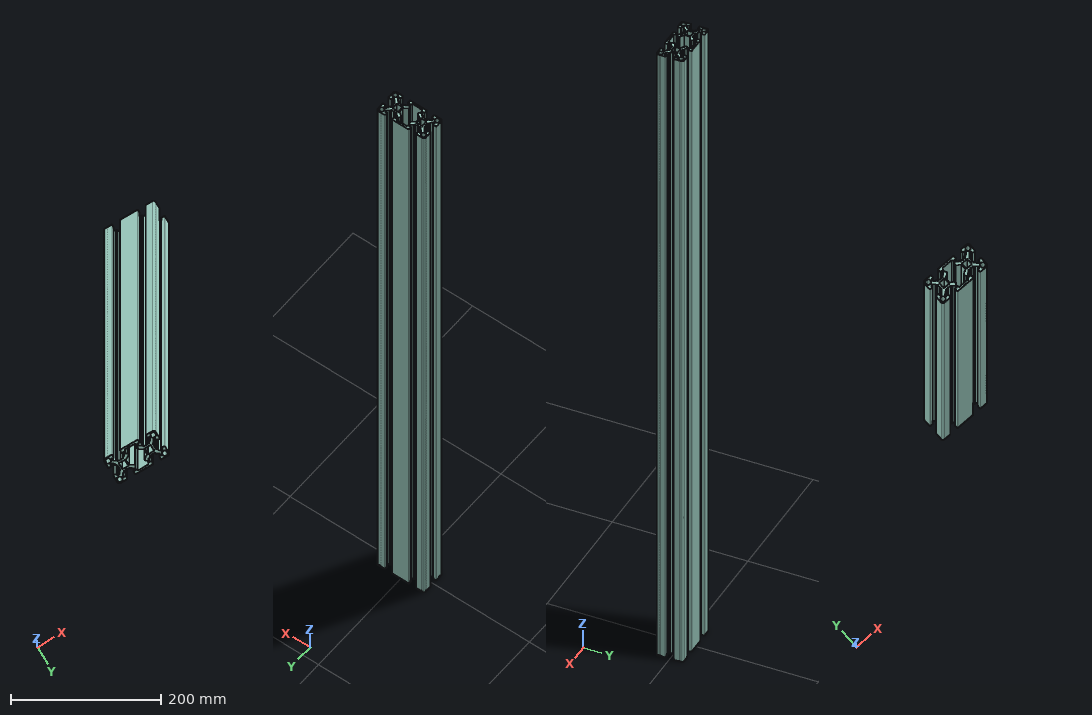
import cadquery as cq

length = 1000.0
width = 80.0
depth = 40.0
corner_radius = 3.0

cell_half = depth / 2
cell_centers_x = (-width / 4, width / 4)

slot_mouth_width = 12.0
mouth_fillet = 0.6
lip_thickness = 5.0
slot_inner_width = 18.0
slot_wall_height = 3.0
ledge_depth = 10.0
ledge_width = 13.0
floor_depth = 12.0
floor_width = 9.0
groove_half_width = 0.6

core_bore_side = 9.5
corner_hole_side = 7.0
corner_hole_wall = 1.5
corner_hole_fillet = 2.5

cavity_wall = 3.0
cavity_middle = (14.0, 4.0)
cavity_neck_half_width = 7.5
cavity_neck_heights = (8.0, 10.0)
cavity_lobe_half_width = 9.5
cavity_lobe_heights = (12.0, 14.0)
cavity_top_half_width = 8.0


def prism(points):
    """Full-length prism over a closed outline."""
    return cq.Workplane("XY").polyline(points).close().extrude(length)


def mirrored_in_x(points):
    """The points in reverse order, mirrored to the other side of the Y axis."""
    return [(-x, y) for x, y in reversed(points)]


def t_slot():
    """Cutter for a slot opening toward +Y in a cell centred on the origin."""
    half = [
        (slot_mouth_width / 2, cell_half),
        (slot_mouth_width / 2, cell_half - lip_thickness),
        (slot_inner_width / 2, cell_half - lip_thickness),
        (slot_inner_width / 2, cell_half - lip_thickness - slot_wall_height),
        (ledge_width / 2, cell_half - ledge_depth),
        (floor_width / 2, cell_half - ledge_depth),
        (floor_width / 2, cell_half - floor_depth),
        (groove_half_width, cell_half - floor_depth),
    ]
    groove_bottom = (0, cell_half - floor_depth - groove_half_width)
    return prism(half + [groove_bottom] + mirrored_in_x(half))


def central_cavity():
    """Hollow between the cells, with a narrow neck beside each pair of facing slots."""
    neck_low, neck_high = cavity_neck_heights
    lobe_low, lobe_high = cavity_lobe_heights
    quarter = [
        cavity_middle,
        (cavity_neck_half_width, neck_low),
        (cavity_neck_half_width, neck_high),
        (cavity_lobe_half_width, lobe_low),
        (cavity_lobe_half_width, lobe_high),
        (cavity_top_half_width, cell_half - cavity_wall),
    ]
    upper = quarter + mirrored_in_x(quarter)
    lower = [(-x, -y) for x, y in upper]
    return prism(upper + lower)


def mouth_edge_selector():
    """Selector for the outer long edges of all six slot mouths."""
    half_mouth = slot_mouth_width / 2
    points = [(end * width / 2, side * half_mouth) for end in (-1, 1) for side in (-1, 1)]
    for center_x in cell_centers_x:
        for side in (-1, 1):
            points.append((center_x - half_mouth, side * cell_half))
            points.append((center_x + half_mouth, side * cell_half))
    reach = mouth_fillet / 2
    selector = None
    for x, y in points:
        box = cq.selectors.BoxSelector((x - reach, y - reach, 0), (x + reach, y + reach, length))
        selector = box if selector is None else selector + box
    return selector


result = cq.Workplane("XY").rect(width, depth).extrude(length).edges("|Z").fillet(corner_radius)

for center_x in cell_centers_x:
    outward_turn = 90 if center_x < 0 else -90
    for turn in (0, 180, outward_turn):
        slot = t_slot().rotate((0, 0, 0), (0, 0, 1), turn).translate((center_x, 0, 0))
        result = result.cut(slot)
result = result.edges("|Z").edges(mouth_edge_selector()).fillet(mouth_fillet)

core_bores = (
    cq.Workplane("XY")
    .pushPoints([(x, 0) for x in cell_centers_x])
    .rect(core_bore_side, core_bore_side)
    .extrude(length)
)
result = result.cut(core_bores)

corner_inset = corner_hole_wall + corner_hole_side / 2
corner_holes = (
    cq.Workplane("XY")
    .rect(width - 2 * corner_inset, depth - 2 * corner_inset, forConstruction=True)
    .vertices()
    .rect(corner_hole_side, corner_hole_side)
    .extrude(length)
    .edges("|Z")
    .fillet(corner_hole_fillet)
)
result = result.cut(corner_holes)

result = result.cut(central_cavity())